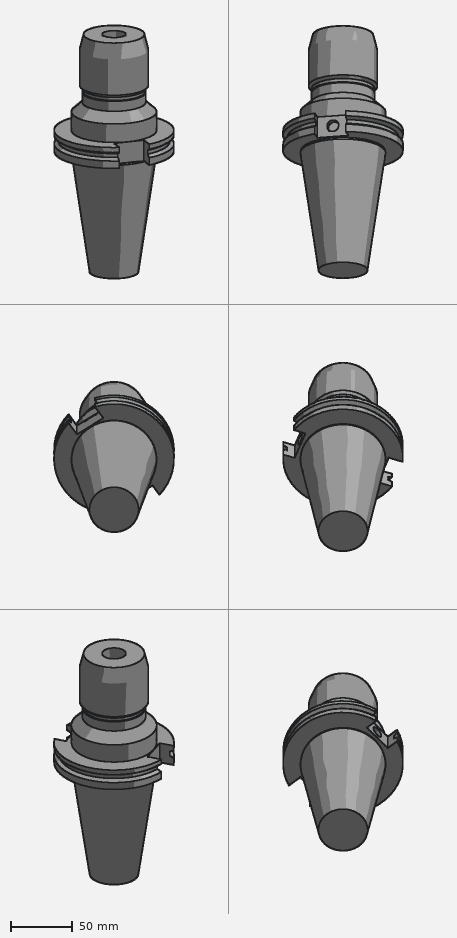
import cadquery as cq

total_height = 203.2
gauge_radius = 35.0
gauge_height = 101.5
taper_ratio = 7 / 24
tip_radius = gauge_radius - gauge_height * taper_ratio / 2

flange_diameter = 98.3
flange_radius = flange_diameter / 2
flange_bottom = 103.2
flange_top = 121.1
relief_radius = 34.5
groove_floor_radius = 45.7
groove_bottom = 109.5
groove_floor_bottom = 111.5
groove_floor_top = 114.8
groove_top = 116.8

shoulder_radius = 35.0
shoulder_top = 137.0
neck_radius = 26.0
neck_bottom = 145.0
neck_top = 157.0
body_diameter = 56.5
body_radius = body_diameter / 2
body_bottom = 159.5
nose_bottom = 190.2
nose_radius = 25.0

ring_groove_height = 153.6
ring_groove_width = 0.6
ring_groove_depth = 0.5

slot_width = 26.0
left_slot_floor = 37.4
right_slot_floor = 35.2
side_hole_diameter = 9.8
side_hole_height = 112.5
side_hole_depth = 5.0
bore_diameter = 19.5
bore_depth = 50.8


def revolved_body():
    """Turned outline: (radius, height) points from the tip up to the nose."""
    ring_radius = neck_radius - ring_groove_depth
    ring_groove_top = ring_groove_height + ring_groove_width
    outline = [
        (0, 0),
        (tip_radius, 0),
        (gauge_radius, gauge_height),
        (relief_radius, flange_bottom),
        (flange_radius, flange_bottom),
        (flange_radius, groove_bottom),
        (groove_floor_radius, groove_floor_bottom),
        (groove_floor_radius, groove_floor_top),
        (flange_radius, groove_top),
        (flange_radius, flange_top),
        (shoulder_radius, flange_top),
        (shoulder_radius, shoulder_top),
        (neck_radius, neck_bottom),
        (neck_radius, ring_groove_height),
        (ring_radius, ring_groove_height),
        (ring_radius, ring_groove_top),
        (neck_radius, ring_groove_top),
        (neck_radius, neck_top),
        (body_radius, body_bottom),
        (body_radius, nose_bottom),
        (nose_radius, total_height),
        (0, total_height),
    ]
    return cq.Workplane("XZ").polyline(outline).close().revolve(360, (0, 0), (0, 1))


def drive_slot(side, floor):
    """Flat-floored slot through the flange; side is -1 for -X and +1 for +X."""
    height = flange_top - flange_bottom
    return (
        cq.Workplane("XY", origin=(side * (floor + flange_radius / 2), 0, flange_bottom))
        .box(flange_radius, slot_width, height, centered=(True, True, False))
    )


def side_hole():
    """Blind round hole in the floor of the -X slot."""
    return (
        cq.Workplane("YZ", origin=(-left_slot_floor, 0, side_hole_height))
        .circle(side_hole_diameter / 2)
        .extrude(side_hole_depth)
    )


def tool_bore():
    """Blind tool bore from the nose face."""
    return (
        cq.Workplane("XY", origin=(0, 0, total_height))
        .circle(bore_diameter / 2)
        .extrude(-bore_depth)
    )


result = (
    revolved_body()
    .cut(drive_slot(-1, left_slot_floor))
    .cut(drive_slot(1, right_slot_floor))
    .cut(side_hole())
    .cut(tool_bore())
)